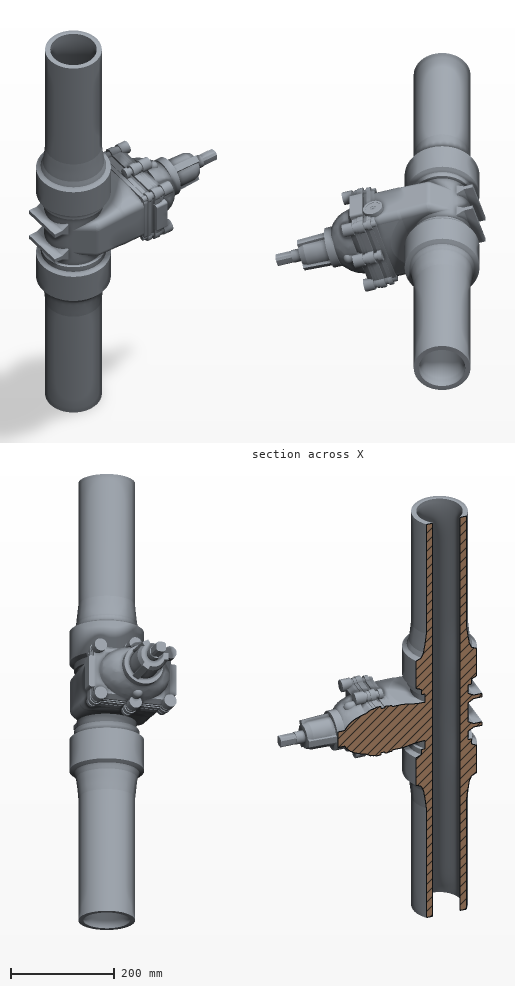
import cadquery as cq


PIPE_DIA = 110
BORE_DIA = 90
BODY_PIPE_DIA = 115
COLLAR_DIA = 127
SLEEVE_DIA = 145
TOTAL_LENGTH = 899.1
COLLAR_START = 62
SLEEVE_START = 74
SLEEVE_END = 147
SLEEVE_CONE_LENGTH = 5
NECK_START = 158
NECK_DIA = 119
NECK_END = 199

HOUSING_HALF_WIDTH = 77
HOUSING_CROWN_HALF_DEPTH = 52
HOUSING_EDGE_HALF_DEPTH = 46
HOUSING_EDGE_RADIUS = 14
HOUSING_CROWN_HALF_WIDTH = HOUSING_HALF_WIDTH - HOUSING_EDGE_RADIUS
HOUSING_KNEE_RADIUS = 12
HOUSING_BOTTOM_HALF_WIDTH = 44
HOUSING_BOTTOM_Y = -37
HOUSING_BOTTOM_HALF_DEPTH = 41
HOUSING_KNEE_Y = 4
SLOPE_TOP_Y = 101
SLOPE_BOTTOM_Y = 62
SLOPE_BOTTOM_HALF_DEPTH = 45

LIP_BOTTOM_Y = 113
LOWER_FLANGE_BOTTOM_Y = 121
SEAL_BOTTOM_Y = 129
SEAL_TOP_Y = 136
UPPER_FLANGE_STEP_Y = 147
UPPER_FLANGE_EDGE_Y = 153
UPPER_FLANGE_TOP_Y = 158
FLARE_TOP_Y = 169
FLANGE_HALF_WIDTH = 82
FLANGE_HALF_DEPTH = 56
FLANGE_CORNER_RADIUS = 12
FLANGE_STEP = 1.5
LOWER_FLANGE_INSET = 2
SEAL_INSET = 5
LIP_OVERHANG = 1
OVERALL_WIDTH = 178.63
SIDE_PAD_HALF_WIDTH = OVERALL_WIDTH / 2
SIDE_PAD_HALF_DEPTH = 32
SIDE_PAD_BOTTOM_Y = 135
SIDE_PAD_TOP_Y = 160
SIDE_PAD_RADIUS = 4
SIDE_PAD_THICKNESS = 15

LUG_DIA = 25
LUG_TOP_Y = 178
CORNER_LUG_X = 71
CORNER_LUG_Z = 49.5
MIDDLE_LUG_Z = 60
BOLT_DIA = 12
BOLT_BOTTOM_Y = 112
CORNER_LUG_PLACES = [(sx * CORNER_LUG_X, sz * CORNER_LUG_Z) for sx in (-1, 1) for sz in (-1, 1)]
LUG_PLACES = CORNER_LUG_PLACES + [(0, -MIDDLE_LUG_Z), (0, MIDDLE_LUG_Z)]

DOME_BASE_HALF_WIDTH = 71
DOME_BASE_HALF_DEPTH = 54
DOME_MID_Y = 193
DOME_MID_HALF_WIDTH = 62
DOME_MID_HALF_DEPTH = 46
DOME_TOP_Y = 213
DOME_TOP_HALF_WIDTH = 40
DOME_TOP_HALF_DEPTH = 34
HOOD_RADIUS = 10
HOOD_Z = 45
HOOD_TOP_Y = 199
RING_DIA = 79
RING_BOTTOM_Y = 211
RING_TOP_Y = 227
TOWER_BASE_RADIUS = 29.5
TOWER_SHOULDER_RADIUS = 28
TOWER_TOP_RADIUS = 24
TOWER_SHOULDER_Y = 273
TOWER_TOP_Y = 284
RIB_WIDTH = 13.5
RIB_BASE_RADIUS = 35
RIB_TOP_RADIUS = 31.5
RIB_COUNT = 3

STEM_DIA = 25
STEM_COLLAR_TOP_Y = 302
STEM_SQUARE = 20
STEM_SQUARE_CHAMFER = 4
STEM_TOP_Y = 334

BOSS_Y = 114.5
BOSS_Z = -17.5
BOSS_RADIUS = 19.5
BOSS_FACE_X = -86
BOSS_DISH_RADIUS = 15
BOSS_DISH_DEPTH = 1
BOSS_RECESS_RADIUS = 6
BOSS_RECESS_DEPTH = 2
BOSS_PIN_RADIUS = 2

FOOT_Z = 32.5
FOOT_BOTTOM_Y = -75
FOOT_FLARE_Y = -57
FOOT_BASE_Y = -42
FOOT_HALF_WIDTH = 43
FOOT_HALF_THICKNESS = 4.5
FOOT_BASE_HALF_THICKNESS = 13


def across_y(y):
    """Plane square to the stem at height y; its local axes are X and -Z, its normal is +Y."""
    return cq.Workplane(cq.Plane(origin=(0, y, 0), xDir=(1, 0, 0), normal=(0, 1, 0)))


def y_cylinder(radius, x, z, bottom, top):
    return across_y(bottom).center(x, -z).circle(radius).extrude(top - bottom)


def y_block(half_width, half_depth, bottom, top, corner_radius):
    block = across_y(bottom).rect(2 * half_width, 2 * half_depth).extrude(top - bottom)
    return block.edges("|Y").fillet(corner_radius)


def pipe_run_half():
    profile = [
        (0, 0),
        (BODY_PIPE_DIA / 2, 0),
        (BODY_PIPE_DIA / 2, COLLAR_START),
        (COLLAR_DIA / 2, COLLAR_START),
        (COLLAR_DIA / 2, SLEEVE_START),
        (SLEEVE_DIA / 2, SLEEVE_START + SLEEVE_CONE_LENGTH),
        (SLEEVE_DIA / 2, SLEEVE_END - SLEEVE_CONE_LENGTH),
        (COLLAR_DIA / 2, SLEEVE_END),
        (NECK_DIA / 2, NECK_START),
        (PIPE_DIA / 2, NECK_END),
        (PIPE_DIA / 2, TOTAL_LENGTH / 2),
        (0, TOTAL_LENGTH / 2),
    ]
    return cq.Workplane("XZ").polyline(profile).close().revolve(360, (0, 0), (0, 1))


def housing():
    """Gate housing: bulged faces along Z, sloping in towards the pipe, with rounded long edges."""
    top = SEAL_BOTTOM_Y
    bottom = HOUSING_BOTTOM_Y
    body = (
        cq.Workplane("XY")
        .polyline([
            (-HOUSING_HALF_WIDTH, top),
            (-HOUSING_HALF_WIDTH, HOUSING_KNEE_Y),
            (-HOUSING_BOTTOM_HALF_WIDTH, bottom),
            (HOUSING_BOTTOM_HALF_WIDTH, bottom),
            (HOUSING_HALF_WIDTH, HOUSING_KNEE_Y),
            (HOUSING_HALF_WIDTH, top),
        ])
        .close()
        .extrude(HOUSING_EDGE_HALF_DEPTH, both=True)
    )
    sides = [
        (bottom, HOUSING_BOTTOM_HALF_DEPTH),
        (SLOPE_BOTTOM_Y, SLOPE_BOTTOM_HALF_DEPTH),
        (SLOPE_TOP_Y, HOUSING_CROWN_HALF_DEPTH),
        (top, HOUSING_CROWN_HALF_DEPTH),
    ]
    mirrored = [(y, -z) for y, z in reversed(sides)]
    slopes = cq.Workplane("YZ").polyline(sides + mirrored).close().extrude(HOUSING_HALF_WIDTH, both=True)
    body = body.faces("<X or >X").edges("|Z and (not >Y)").fillet(HOUSING_KNEE_RADIUS)
    body = body.intersect(slopes)
    body = body.faces("<X or >X").edges("not |Z").fillet(HOUSING_EDGE_RADIUS)
    crown = (
        cq.Workplane("XZ", origin=(0, top, 0))
        .moveTo(-HOUSING_CROWN_HALF_WIDTH, -HOUSING_EDGE_HALF_DEPTH)
        .threePointArc((0, -HOUSING_CROWN_HALF_DEPTH), (HOUSING_CROWN_HALF_WIDTH, -HOUSING_EDGE_HALF_DEPTH))
        .lineTo(HOUSING_CROWN_HALF_WIDTH, HOUSING_EDGE_HALF_DEPTH)
        .threePointArc((0, HOUSING_CROWN_HALF_DEPTH), (-HOUSING_CROWN_HALF_WIDTH, HOUSING_EDGE_HALF_DEPTH))
        .close()
        .extrude(top - SLOPE_BOTTOM_Y)
    )
    return body.union(crown.intersect(slopes))


def flange_plate(inset, bottom, top):
    """One layer of the flange: a rounded plate with an ear around every bolt."""
    plate = y_block(FLANGE_HALF_WIDTH - inset, FLANGE_HALF_DEPTH - inset, bottom, top, FLANGE_CORNER_RADIUS)
    for x, z in LUG_PLACES:
        plate = plate.union(y_cylinder(LUG_DIA / 2 - inset, x, z, bottom, top))
    return plate


def flange_joint():
    lip = y_block(
        HOUSING_HALF_WIDTH + LIP_OVERHANG,
        HOUSING_CROWN_HALF_DEPTH + LIP_OVERHANG,
        LIP_BOTTOM_Y,
        LOWER_FLANGE_BOTTOM_Y,
        FLANGE_CORNER_RADIUS,
    )
    layers = [
        (LOWER_FLANGE_INSET, LOWER_FLANGE_BOTTOM_Y, SEAL_BOTTOM_Y),
        (SEAL_INSET, SEAL_BOTTOM_Y, SEAL_TOP_Y),
        (0, SEAL_TOP_Y, UPPER_FLANGE_STEP_Y),
        (FLANGE_STEP, UPPER_FLANGE_STEP_Y, UPPER_FLANGE_EDGE_Y),
        (2 * FLANGE_STEP, UPPER_FLANGE_EDGE_Y, UPPER_FLANGE_TOP_Y),
    ]
    joint = lip
    for inset, bottom, top in layers:
        joint = joint.union(flange_plate(inset, bottom, top))
    half_thickness = SIDE_PAD_THICKNESS / 2
    pad_x = SIDE_PAD_HALF_WIDTH - half_thickness
    pad = y_block(half_thickness, SIDE_PAD_HALF_DEPTH, SIDE_PAD_BOTTOM_Y, SIDE_PAD_TOP_Y, SIDE_PAD_RADIUS)
    for side in (-1, 1):
        joint = joint.union(pad.translate((side * pad_x, 0, 0)))
    return joint


def lug(x, z):
    return y_cylinder(LUG_DIA / 2, x, z, UPPER_FLANGE_TOP_Y, LUG_TOP_Y)


def bolt_end(x, z):
    return y_cylinder(BOLT_DIA / 2, x, z, BOLT_BOTTOM_Y, LOWER_FLANGE_BOTTOM_Y)


def dome():
    """Bonnet flare rising from the flange, then an oval crown that rounds in towards the stem."""
    flare_inset = 2 * FLANGE_STEP
    flare = (
        across_y(UPPER_FLANGE_TOP_Y)
        .rect(2 * (FLANGE_HALF_WIDTH - flare_inset), 2 * (FLANGE_HALF_DEPTH - flare_inset))
        .workplane(offset=FLARE_TOP_Y - UPPER_FLANGE_TOP_Y)
        .rect(2 * DOME_MID_HALF_WIDTH, 2 * DOME_MID_HALF_DEPTH)
        .loft()
    )
    crown = (
        across_y(FLARE_TOP_Y)
        .ellipse(DOME_BASE_HALF_WIDTH, DOME_BASE_HALF_DEPTH)
        .workplane(offset=DOME_MID_Y - FLARE_TOP_Y)
        .ellipse(DOME_MID_HALF_WIDTH, DOME_MID_HALF_DEPTH)
        .workplane(offset=DOME_TOP_Y - DOME_MID_Y)
        .ellipse(DOME_TOP_HALF_WIDTH, DOME_TOP_HALF_DEPTH)
        .loft()
    )
    return flare.union(crown)


def hood(z):
    centre_y = HOOD_TOP_Y - HOOD_RADIUS
    shaft = y_cylinder(HOOD_RADIUS, 0, z, UPPER_FLANGE_TOP_Y, centre_y)
    cap = cq.Workplane("XY").sphere(HOOD_RADIUS).translate((0, centre_y, z))
    return shaft.union(cap)


def tower():
    profile = [
        (0, RING_BOTTOM_Y),
        (TOWER_BASE_RADIUS, RING_BOTTOM_Y),
        (TOWER_SHOULDER_RADIUS, TOWER_SHOULDER_Y),
        (TOWER_TOP_RADIUS, TOWER_TOP_Y),
        (0, TOWER_TOP_Y),
    ]
    body = cq.Workplane("XY").polyline(profile).close().revolve(360, (0, 0), (0, 1))
    rib = (
        cq.Workplane("XY")
        .polyline([
            (0, RING_BOTTOM_Y),
            (-RIB_BASE_RADIUS, RING_BOTTOM_Y),
            (-RIB_TOP_RADIUS, TOWER_TOP_Y),
            (0, TOWER_TOP_Y),
        ])
        .close()
        .extrude(RIB_WIDTH / 2, both=True)
    )
    for i in range(RIB_COUNT):
        body = body.union(rib.rotate((0, 0, 0), (0, 1, 0), i * 360 / RIB_COUNT))
    return body


def stem():
    collar = y_cylinder(STEM_DIA / 2, 0, 0, TOWER_TOP_Y, STEM_COLLAR_TOP_Y)
    square_length = STEM_TOP_Y - STEM_COLLAR_TOP_Y
    square = across_y(STEM_COLLAR_TOP_Y).rect(STEM_SQUARE, STEM_SQUARE).extrude(square_length)
    return collar.union(square.edges("|Y").chamfer(STEM_SQUARE_CHAMFER))


def side_boss():
    face = cq.Workplane("YZ", origin=(BOSS_FACE_X, BOSS_Y, BOSS_Z))
    disc = face.circle(BOSS_RADIUS).extrude(-BOSS_FACE_X - HOUSING_BOTTOM_HALF_WIDTH)
    recess = face.circle(BOSS_RECESS_RADIUS).circle(BOSS_PIN_RADIUS).extrude(BOSS_RECESS_DEPTH)
    dish = face.circle(BOSS_DISH_RADIUS).extrude(BOSS_DISH_DEPTH)
    return disc.cut(dish).cut(recess)


def foot(z):
    one_side = [
        (FOOT_BOTTOM_Y, FOOT_HALF_THICKNESS),
        (FOOT_FLARE_Y, FOOT_HALF_THICKNESS),
        (FOOT_BASE_Y, FOOT_BASE_HALF_THICKNESS),
    ]
    other_side = [(y, -t) for y, t in reversed(one_side)]
    bracket = cq.Workplane("YZ").polyline(one_side + other_side).close()
    bracket = bracket.extrude(FOOT_HALF_WIDTH, both=True)
    return bracket.translate((0, 0, z))


half_run = pipe_run_half()

valve = housing().union(flange_joint()).union(dome())
for x, z in LUG_PLACES:
    valve = valve.union(lug(x, z))
for x, z in CORNER_LUG_PLACES:
    valve = valve.union(bolt_end(x, z))
for side in (-1, 1):
    valve = valve.union(hood(side * HOOD_Z))
    valve = valve.union(foot(side * FOOT_Z))
valve = valve.union(y_cylinder(RING_DIA / 2, 0, 0, RING_BOTTOM_Y, RING_TOP_Y))
valve = valve.union(tower()).union(stem()).union(side_boss())
valve = valve.union(half_run).union(half_run.mirror("XY"))
bore = cq.Workplane("XY").circle(BORE_DIA / 2).extrude(TOTAL_LENGTH / 2, both=True)
result = valve.cut(bore)